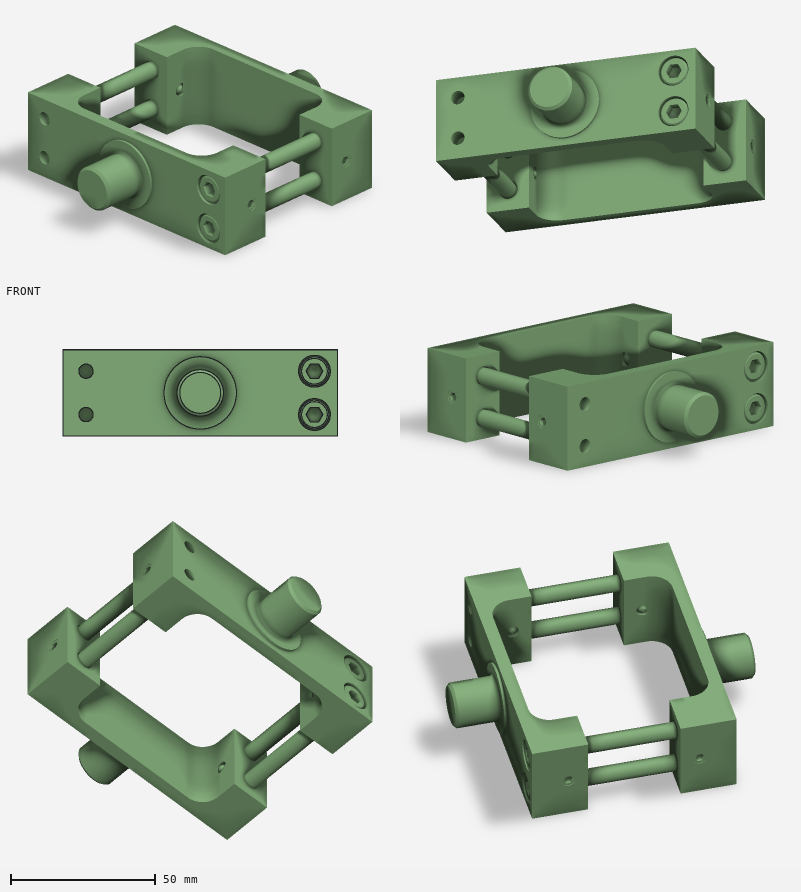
import cadquery as cq
import math

LENGTH = 95.0
HEIGHT = 30.0
OVERALL_WIDTH = 107.0
FRAME_OUTER_Y = 36.5
FRAME_INNER_Y = 16.5
OPENING_HALF_X = 32.0
OPENING_HALF_Y = 32.0
OPENING_RADIUS = 7.4

PAD_DIAMETER = 25.0
PAD_HEIGHT = 1.0
TRUNNION_DIAMETER = 16.0
TRUNNION_CHAMFER = 1.0
TRUNNION_ROOT_RADIUS = 1.0

SCREW_X = 39.5
SCREW_Z = 7.5
SHANK_DIAMETER = 6.0
CLEARANCE_DIAMETER = 6.6
HEAD_DIAMETER = 10.0
HEAD_HEIGHT = 6.0
HEAD_CHAMFER = 0.5
HEAD_RECESS = 0.4
COUNTERBORE_DIAMETER = 11.0
HEAD_SOCKET_FLATS = 5.0
HEAD_SOCKET_DEPTH = 3.0
SCREW_HOLE_DIAMETER = 4.9
SCREW_HOLE_DEPTH = 6.0

SET_SCREW_Y = 23.4
SET_SCREW_DIAMETER = 4.9
SET_SCREW_SOCKET_FLATS = 3.0
SET_SCREW_SOCKET_DEPTH = 2.0
SET_SCREW_RECESS = 0.2
TIP_PROTRUSION = 0.3
TIP_DIAMETER = 1.3

DRILL_HALF_ANGLE = 60.0


def revolved(profile, base, direction):
    """Revolve (radius, distance) points about the axis through base along direction."""
    across = cq.Vector(0, 0, 1)
    plane = cq.Plane(origin=base, xDir=across, normal=across.cross(cq.Vector(*direction)))
    return cq.Workplane(plane).polyline(profile).close().revolve(360, (0, 0), (0, 1))


def cylinder(diameter, depth, base, direction):
    """Cylinder of the given depth that starts at base and runs along direction."""
    solid = cq.Solid.makeCylinder(diameter / 2, depth, cq.Vector(*base), cq.Vector(*direction))
    return cq.Workplane(solid)


def hex_socket(flats, depth, base, direction, corner):
    """Hexagonal socket with a conical bottom; one corner points along corner."""
    plane = cq.Plane(origin=base, xDir=corner, normal=direction)
    corner_diameter = flats / math.cos(math.pi / 6)
    cone_radius = corner_diameter / 2
    cone_depth = cone_radius / math.tan(math.radians(DRILL_HALF_ANGLE))
    prism = cq.Workplane(plane).polygon(6, corner_diameter).extrude(depth + cone_depth)
    pencil = [(0, 0), (cone_radius, 0), (cone_radius, depth), (0, depth + cone_depth)]
    return prism.intersect(revolved(pencil, base, direction))


def half_frame():
    """Half frame on the -Y side: a bar with a block at each end."""
    depth = FRAME_OUTER_Y - FRAME_INNER_Y
    bar = cq.Workplane("XY").box(LENGTH, depth, HEIGHT).translate((0, -FRAME_INNER_Y - depth / 2, 0))
    opening = (
        cq.Workplane("XY")
        .box(2 * OPENING_HALF_X, 2 * OPENING_HALF_Y, HEIGHT)
        .edges("|Z")
        .fillet(OPENING_RADIUS)
    )
    return bar.cut(opening)


def trunnion():
    """Pad and pin on the -Y face, with a rounded root and a chamfered end."""
    pad_y = FRAME_OUTER_Y + PAD_HEIGHT
    pin_radius = TRUNNION_DIAMETER / 2
    end_y = OVERALL_WIDTH / 2
    root = TRUNNION_ROOT_RADIUS
    arc_offset = root * (1 - math.cos(math.pi / 4))
    profile = (
        cq.Workplane("XY")
        .moveTo(0, -FRAME_OUTER_Y)
        .lineTo(PAD_DIAMETER / 2, -FRAME_OUTER_Y)
        .lineTo(PAD_DIAMETER / 2, -pad_y)
        .lineTo(pin_radius + root, -pad_y)
        .threePointArc((pin_radius + arc_offset, -pad_y - arc_offset), (pin_radius, -pad_y - root))
        .lineTo(pin_radius, -end_y + TRUNNION_CHAMFER)
        .lineTo(pin_radius - TRUNNION_CHAMFER, -end_y)
        .lineTo(0, -end_y)
        .close()
    )
    return profile.revolve(360, (0, 0), (0, 1))


def tie_screw_holes(x, z):
    """Counterbored clearance hole in the -Y frame."""
    start = (x, -FRAME_OUTER_Y, z)
    counterbore = cylinder(COUNTERBORE_DIAMETER, HEAD_RECESS + HEAD_HEIGHT, start, (0, 1, 0))
    clearance = cylinder(CLEARANCE_DIAMETER, FRAME_OUTER_Y - FRAME_INNER_Y, start, (0, 1, 0))
    return counterbore.union(clearance)


def tie_screw(x, z):
    """Socket-head screw, its head just below the -Y face, its shank ending in the +Y frame."""
    head_y = FRAME_OUTER_Y - HEAD_RECESS
    start = (x, -head_y, z)
    head_radius = HEAD_DIAMETER / 2
    shank_radius = SHANK_DIAMETER / 2
    shank_end = head_y + FRAME_OUTER_Y - SCREW_HOLE_DEPTH
    body = [
        (0, 0),
        (head_radius - HEAD_CHAMFER, 0),
        (head_radius, HEAD_CHAMFER),
        (head_radius, HEAD_HEIGHT),
        (shank_radius, HEAD_HEIGHT),
        (shank_radius, shank_end),
        (0, shank_end),
    ]
    socket = hex_socket(HEAD_SOCKET_FLATS, HEAD_SOCKET_DEPTH, start, (0, 1, 0), (1, 0, 0))
    return revolved(body, start, (0, 1, 0)).cut(socket)


def screw_end_hole(x, z):
    """Open end, in the +Y face, of the hole that holds the shank."""
    return cylinder(SCREW_HOLE_DIAMETER, SCREW_HOLE_DEPTH, (x, FRAME_OUTER_Y, z), (0, -1, 0))


def half_turn(shape):
    """Copy turned 180 degrees about Z, from one frame to the other."""
    return shape.rotate((0, 0, 0), (0, 0, 1), 180)


def set_screw_hole(side, y):
    """Hole through the block at the given X side (-1 or 1)."""
    block_width = LENGTH / 2 - OPENING_HALF_X
    return cylinder(SET_SCREW_DIAMETER, block_width, (side * LENGTH / 2, y, 0), (-side, 0, 0))


def set_screw(side, y):
    """Set screw with a hex socket just below the outer face and a tapered tip in the opening."""
    outer_end = LENGTH / 2 - SET_SCREW_RECESS
    start = (side * outer_end, y, 0)
    inward = (-side, 0, 0)
    length = outer_end - OPENING_HALF_X + TIP_PROTRUSION
    radius = SET_SCREW_DIAMETER / 2
    tip_radius = TIP_DIAMETER / 2
    body = [
        (0, 0),
        (radius, 0),
        (radius, length - (radius - tip_radius)),
        (tip_radius, length),
        (0, length),
    ]
    socket = hex_socket(SET_SCREW_SOCKET_FLATS, SET_SCREW_SOCKET_DEPTH, start, inward, (0, 1, 0))
    return revolved(body, start, inward).cut(socket)


frame = half_frame().union(trunnion())
result = frame.union(half_turn(frame))

for z in (-SCREW_Z, SCREW_Z):
    holes = tie_screw_holes(SCREW_X, z)
    screw = tie_screw(SCREW_X, z)
    end_hole = screw_end_hole(SCREW_X, z)
    result = result.cut(holes).cut(half_turn(holes))
    result = result.union(screw).union(half_turn(screw))
    result = result.cut(end_hole).cut(half_turn(end_hole))

for side in (-1, 1):
    for y in (-SET_SCREW_Y, SET_SCREW_Y):
        result = result.cut(set_screw_hole(side, y)).union(set_screw(side, y))